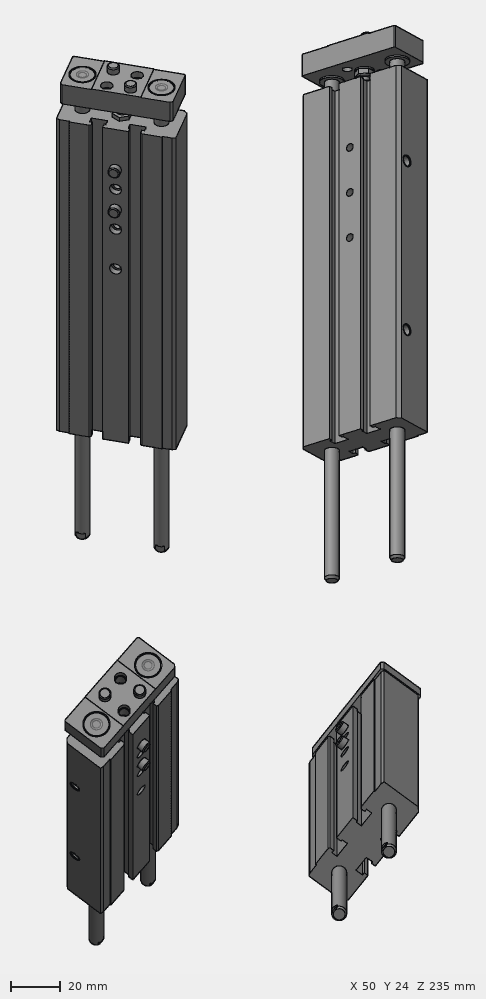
import cadquery as cq
import math


total_height = 235.0

housing_width = 50.0
housing_back = 9.9
housing_front = 9.5
housing_bottom = 57.8
housing_top = 214.3
back_chamfer = 1.6
front_chamfer_x = 1.5
front_chamfer_y = 0.5

pad_height = 0.5
side_pad_outer = 19.5
side_pad_inner = 11.0
slot_outer = 10.3
slot_inner = 5.5
slot_outer_undercut = 1.2
slot_inner_undercut = 0.7
slot_lip = 1.9
front_slot_depth = 4.5
back_slot_depth = 5.2

rod_spacing = 33.1
rod_diameter = 6.0
rod_tip_chamfer_width = 0.7
rod_tip_chamfer_height = 1.2
rod_flat_height = 3.3
rod_flat_offset = 2.4
collar_diameter = 10.0
collar_step = 0.7
dimple_diameter = 3.3
dimple_mouth_diameter = 5.0
dimple_depth = 0.2

plate_width = 47.2
plate_back = 11.0
plate_front = 9.0
plate_thickness = 9.6
plate_front_chamfer = 1.0
plate_back_chamfer = 0.5
plate_pad_width = 20.7
plate_pad_height = 0.2
collar_mouth_diameter = 11.0
collar_mouth_depth = 0.5

piston_disc_diameter = 8.0
piston_disc_height = 0.7
piston_flats = 7.0
upper_hex_height = 2.0
washer_height = 0.7
lower_hex_height = 1.9
piston_neck_diameter = 4.2

lowest_hole_drop = 70.0
lowest_hole_step = 7
housing_bolt_diameter = 3.3
plate_bolt_diameter = 4.0
pin_diameter = 5.0
pin_projection = 3.0
pin_seat_depth = 2.8
pin_chamfer = 0.5

port_diameter = 4.2
port_mouth_diameter = 5.0
port_mouth_depth = 0.5
port_depth = 4.7
port_tip_depth = 1.2
port_y = 4.5
port_heights = (98.5, 173.5)

pad_face_y = -(housing_front + pad_height)
pad_top = total_height - pin_projection
plate_top = pad_top - plate_pad_height
plate_bottom = plate_top - plate_thickness
rod_places = [(-rod_spacing / 2, 0), (rod_spacing / 2, 0)]
hole_pitch = lowest_hole_drop / lowest_hole_step
half_pitch = hole_pitch / 2
plate_pin_places = [(-half_pitch, half_pitch), (half_pitch, -half_pitch)]
plate_bolt_places = [(-half_pitch, -half_pitch), (half_pitch, half_pitch)]
front_pin_heights = [housing_top - n * hole_pitch for n in (2, 4)]
front_bolt_heights = [housing_top - n * hole_pitch for n in (3, 5, lowest_hole_step)]


def block(x_min, x_max, y_min, y_max, z_min, z_max):
    """Axis-aligned box between the given limits."""
    size = (x_max - x_min, y_max - y_min, z_max - z_min)
    return cq.Workplane("XY").box(*size, centered=False).translate((x_min, y_min, z_min))


def upright_cylinder(x, y, diameter, z_min, z_max):
    """Cylinder along Z."""
    return cq.Workplane("XY", origin=(x, y, z_min)).circle(diameter / 2).extrude(z_max - z_min)


def front_cylinder(z, diameter, y_min, y_max):
    """Cylinder along Y on the middle plane."""
    return cq.Workplane("XZ", origin=(0, y_max, z)).circle(diameter / 2).extrude(y_max - y_min)


def upright_cone(x, y, lower_diameter, upper_diameter, z_min, z_max):
    """Truncated cone along Z."""
    return cq.Workplane(cq.Solid.makeCone(
        lower_diameter / 2, upper_diameter / 2, z_max - z_min, pnt=cq.Vector(x, y, z_min)
    ))


def t_slot(side, face_y, inward, depth):
    """T-slot running the full height; inward is the Y direction into the housing."""
    lip_y = face_y + inward * slot_lip
    floor_y = face_y + inward * depth
    outside_y = face_y - inward * slot_lip
    wide_outer = slot_outer + slot_outer_undercut
    wide_inner = slot_inner - slot_inner_undercut
    right_half = [
        (slot_outer, outside_y), (slot_outer, lip_y), (wide_outer, lip_y), (wide_outer, floor_y),
        (wide_inner, floor_y), (wide_inner, lip_y), (slot_inner, lip_y), (slot_inner, outside_y),
    ]
    outline = [(side * x, y) for x, y in right_half]
    profile = cq.Workplane("XY", origin=(0, 0, housing_bottom)).polyline(outline).close()
    return profile.extrude(housing_top - housing_bottom)


def side_pad(side):
    """Raised front strip whose inner edge slopes down to the slot mouth."""
    outline = [
        (side * side_pad_outer, -housing_front), (side * side_pad_outer, pad_face_y),
        (side * side_pad_inner, pad_face_y), (side * slot_outer, -housing_front),
    ]
    profile = cq.Workplane("XY", origin=(0, 0, housing_bottom)).polyline(outline).close()
    return profile.extrude(housing_top - housing_bottom)


def port(z):
    """Cutter for a side port with a wider mouth and a drill tip, entering from the -X face."""
    mouth_radius = port_mouth_diameter / 2
    radius = port_diameter / 2
    outline = [
        (0, 0), (0, mouth_radius), (port_mouth_depth, mouth_radius), (port_mouth_depth, radius),
        (port_depth, radius), (port_depth + port_tip_depth, 0),
    ]
    profile = cq.Workplane("XY", origin=(-housing_width / 2, port_y, z)).polyline(outline).close()
    return profile.revolve(360, (0, 0, 0), (1, 0, 0))


def make_housing():
    """Housing with raised front strips, T-slots, rod bores, front holes and side ports."""
    half_width = housing_width / 2
    right_half = [
        (half_width - front_chamfer_x, -housing_front),
        (half_width, -housing_front + front_chamfer_y),
        (half_width, housing_back - back_chamfer),
        (half_width - back_chamfer, housing_back),
    ]
    outline = right_half + [(-x, y) for x, y in reversed(right_half)]
    profile = cq.Workplane("XY", origin=(0, 0, housing_bottom)).polyline(outline).close()
    body = profile.extrude(housing_top - housing_bottom)

    body = body.union(block(-slot_inner, slot_inner, pad_face_y, -housing_front, housing_bottom, housing_top))
    for side in (-1, 1):
        body = body.union(side_pad(side))
        body = body.cut(t_slot(side, -housing_front, 1, front_slot_depth))
        body = body.cut(t_slot(side, housing_back, -1, back_slot_depth))

    for x, y in rod_places:
        body = body.cut(upright_cylinder(x, y, rod_diameter, housing_bottom, housing_top))

    seat_floor_y = pad_face_y + pin_seat_depth
    for z in front_pin_heights + front_bolt_heights:
        body = body.cut(front_cylinder(z, pin_diameter, pad_face_y, seat_floor_y))
    for z in front_bolt_heights:
        body = body.cut(front_cylinder(z, housing_bolt_diameter, pad_face_y, housing_back))

    for z in port_heights:
        body = body.cut(port(z))
    return body


def hexagon(z_min, height):
    """Hexagonal prism with corners pointing along Y."""
    across_corners = piston_flats / math.cos(math.pi / 6)
    prism = cq.Workplane("XY").polygon(6, across_corners).extrude(height)
    return prism.rotate((0, 0, 0), (0, 0, 1), 90).translate((0, 0, z_min))


def make_end_plate():
    """Plate with collar bores and bolt holes, and the piston rod end down to the housing top."""
    half_width = plate_width / 2
    body = block(-half_width, half_width, -plate_front, plate_back, plate_bottom, plate_top)
    body = body.edges("|Z and <Y").chamfer(plate_front_chamfer)
    body = body.edges("|Z and >Y").chamfer(plate_back_chamfer)
    half_pad = plate_pad_width / 2
    body = body.union(block(-half_pad, half_pad, -plate_front, plate_back, plate_top, pad_top))

    mouth_floor = plate_top - collar_mouth_depth
    for x, y in rod_places:
        body = body.cut(upright_cylinder(x, y, collar_diameter, plate_bottom, plate_top))
        body = body.cut(upright_cone(x, y, collar_diameter, collar_mouth_diameter, mouth_floor, plate_top))

    seat_floor = pad_top - pin_seat_depth
    for x, y in plate_pin_places + plate_bolt_places:
        body = body.cut(upright_cylinder(x, y, pin_diameter, seat_floor, pad_top))
    for x, y in plate_bolt_places:
        body = body.cut(upright_cylinder(x, y, plate_bolt_diameter, plate_bottom, pad_top))

    disc_bottom = plate_bottom - piston_disc_height
    body = body.union(upright_cylinder(0, 0, piston_disc_diameter, disc_bottom, plate_bottom))
    hex_bottom = disc_bottom - upper_hex_height
    body = body.union(hexagon(hex_bottom, upper_hex_height))
    body = body.union(upright_cylinder(0, 0, piston_flats, hex_bottom - washer_height, hex_bottom))
    body = body.union(upright_cylinder(0, 0, piston_neck_diameter, housing_top, disc_bottom))
    return body.union(hexagon(housing_top, lower_hex_height))


def make_guide_rod(x, y):
    """Rod with a bevelled tip, one wrench flat facing -Y and a dimpled collar at the top."""
    radius = rod_diameter / 2
    tip_diameter = rod_diameter - 2 * rod_tip_chamfer_width
    rod = upright_cone(x, y, tip_diameter, rod_diameter, 0, rod_tip_chamfer_height)
    rod = rod.union(upright_cylinder(x, y, rod_diameter, rod_tip_chamfer_height, plate_bottom))
    rod = rod.cut(block(x - radius, x + radius, y - radius, y - rod_flat_offset, 0, rod_flat_height))
    rod = rod.union(upright_cylinder(x, y, collar_diameter, plate_bottom - collar_step, plate_top))
    dimple_floor = plate_top - dimple_depth
    return rod.cut(upright_cone(x, y, dimple_diameter, dimple_mouth_diameter, dimple_floor, plate_top))


def make_pin():
    """Solid pin standing on the origin along Z, chamfered at its free end."""
    length = pin_seat_depth + pin_projection
    return cq.Workplane("XY").circle(pin_diameter / 2).extrude(length).faces(">Z").chamfer(pin_chamfer)


housing = make_housing()
end_plate = make_end_plate()
guide_rods = [make_guide_rod(x, y) for x, y in rod_places]
plate_pins = [
    make_pin().translate((x, y, pad_top - pin_seat_depth)) for x, y in plate_pin_places
]
front_pins = [
    make_pin().rotate((0, 0, 0), (1, 0, 0), 90).translate((0, pad_face_y + pin_seat_depth, z))
    for z in front_pin_heights
]

bodies = [housing, end_plate, *guide_rods, *plate_pins, *front_pins]
result = cq.Compound.makeCompound([body.solids().val() for body in bodies])